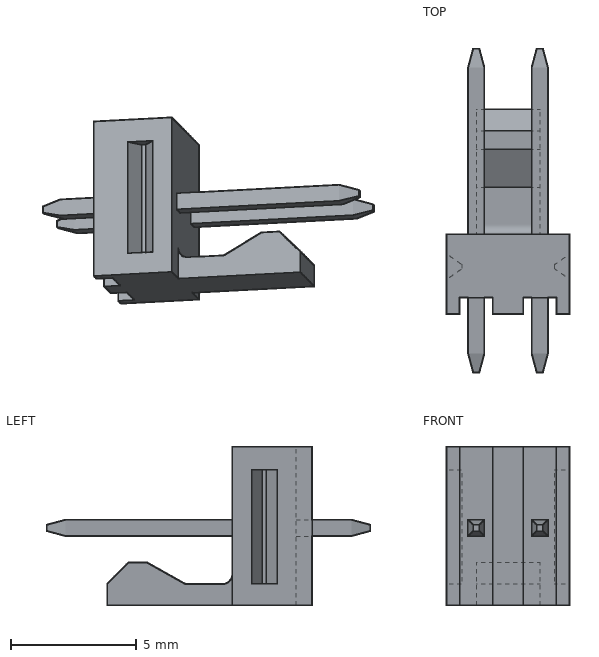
import cadquery as cq


HOUSING_WIDTH = 4.93
HOUSING_DEPTH = 3.2
HOUSING_HEIGHT = 6.35

PIN_COUNT = 2
PIN_PITCH = 2.54
PIN_SIZE = 0.66
PIN_CENTER_Z = 3.10
PIN_LENGTH = 12.95
PIN_BACK_REACH = 7.42
PIN_TIP_SIZE = 0.25
PIN_TIP_LENGTH = 0.76

GROOVE_WIDTH = 1.32
GROOVE_DEPTH = 0.66

POCKET_HEIGHT = 4.57
POCKET_BOTTOM_Z = 0.86
POCKET_MOUTH = 1.02
POCKET_FLOOR = 0.16
POCKET_DEPTH = 0.62
POCKET_CENTER_Y = -1.29

RAMP_WIDTH = 2.54
RAMP_LENGTH = 5.0
RAMP_THICKNESS = 0.86
RAMP_PEAK_HEIGHT = 2 * RAMP_THICKNESS
RAMP_PEAK_BACK_Y = RAMP_LENGTH - RAMP_THICKNESS
RAMP_PEAK_FRONT_Y = 3.40
RAMP_SLOPE_FOOT_Y = 1.87
RAMP_ROOT_RADIUS = 0.38

PIN_POSITIONS = [(i - (PIN_COUNT - 1) / 2) * PIN_PITCH for i in range(PIN_COUNT)]


def make_housing():
    """Plain block with its back face at Y = 0."""
    return cq.Workplane("XY").box(
        HOUSING_WIDTH, HOUSING_DEPTH, HOUSING_HEIGHT, centered=(True, False, False)
    ).translate((0, -HOUSING_DEPTH, 0))


def make_groove(x):
    """Cutter for the front groove centered on one pin."""
    return cq.Workplane("XY").box(
        GROOVE_WIDTH, GROOVE_DEPTH, HOUSING_HEIGHT, centered=(True, False, False)
    ).translate((x, -HOUSING_DEPTH, 0))


def make_side_pocket():
    """Cutter for the -X pocket: a trapezoid in plan that narrows inward."""
    mouth_x = -HOUSING_WIDTH / 2
    floor_x = mouth_x + POCKET_DEPTH
    half_mouth = POCKET_MOUTH / 2
    half_floor = POCKET_FLOOR / 2
    outline = [
        (mouth_x, POCKET_CENTER_Y - half_mouth),
        (floor_x, POCKET_CENTER_Y - half_floor),
        (floor_x, POCKET_CENTER_Y + half_floor),
        (mouth_x, POCKET_CENTER_Y + half_mouth),
    ]
    base = cq.Workplane("XY").workplane(offset=POCKET_BOTTOM_Z)
    return base.polyline(outline).close().extrude(POCKET_HEIGHT)


def make_ramp():
    """Flexible tongue with a raised catch, rounded where it meets the housing."""
    return (
        cq.Workplane("YZ")
        .moveTo(0, 0)
        .lineTo(RAMP_LENGTH, 0)
        .lineTo(RAMP_LENGTH, RAMP_THICKNESS)
        .lineTo(RAMP_PEAK_BACK_Y, RAMP_PEAK_HEIGHT)
        .lineTo(RAMP_PEAK_FRONT_Y, RAMP_PEAK_HEIGHT)
        .lineTo(RAMP_SLOPE_FOOT_Y, RAMP_THICKNESS)
        .lineTo(RAMP_ROOT_RADIUS, RAMP_THICKNESS)
        .radiusArc((0, RAMP_THICKNESS + RAMP_ROOT_RADIUS), RAMP_ROOT_RADIUS)
        .close()
        .extrude(RAMP_WIDTH / 2, both=True)
    )


def make_pin(x):
    """Square pin along Y with a truncated pyramid at each end."""
    shank_length = PIN_LENGTH - 2 * PIN_TIP_LENGTH
    shank_back_y = PIN_BACK_REACH - PIN_TIP_LENGTH
    shank = cq.Workplane("XZ").rect(PIN_SIZE, PIN_SIZE).extrude(shank_length)
    front_tip = (
        shank.faces("<Y").workplane().rect(PIN_SIZE, PIN_SIZE)
        .workplane(offset=PIN_TIP_LENGTH).rect(PIN_TIP_SIZE, PIN_TIP_SIZE)
        .loft(combine=False)
    )
    back_tip = front_tip.mirror("XZ", (0, -shank_length / 2, 0))
    return shank.union(front_tip).union(back_tip).translate((x, shank_back_y, PIN_CENTER_Z))


side_pocket = make_side_pocket()
result = make_housing().cut(side_pocket).cut(side_pocket.mirror("YZ"))
for pin_x in PIN_POSITIONS:
    result = result.cut(make_groove(pin_x))
result = result.union(make_ramp())
for pin_x in PIN_POSITIONS:
    result = result.union(make_pin(pin_x))